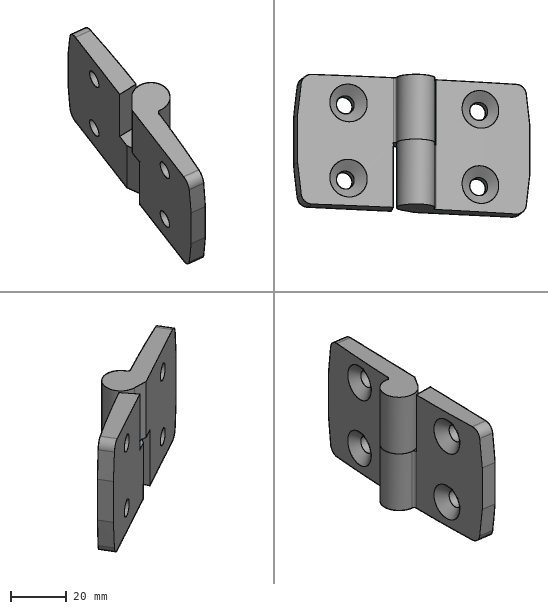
import cadquery as cq
import math

LENGTH = 87.0
HEIGHT = 48.0
DEPTH = 16.0
FRONT_Y = -DEPTH / 2

HALF_LENGTH = LENGTH / 2
HALF_HEIGHT = HEIGHT / 2
CENTER_THICKNESS = 7.65
END_THICKNESS = 6.1
END_FLAT_HEIGHT = 17.6
END_INSET = 1.8
END_BOW = 0.1
CORNER_RADIUS = 3.9

KNUCKLE_RADIUS = 7.0
AXIS_Y = DEPTH / 2 - KNUCKLE_RADIUS
HEEL_X = 1.9
ROOT_FILLET = 1.05

RECESS_FRONT_X = 7.0
RECESS_BACK_X = 8.0

HOLE_X = 25.0
HOLE_Z = 13.9
HOLE_DIAMETER = 6.6
HEAD_DIAMETER = 13.9

CROWN_DROP = CENTER_THICKNESS - END_THICKNESS
CROWN_RADIUS = (HALF_LENGTH**2 + CROWN_DROP**2) / (2 * CROWN_DROP)
CROWN_CENTER_Y = FRONT_Y + CENTER_THICKNESS - CROWN_RADIUS


def crown_y(x):
    """Y of the crowned face at x."""
    return CROWN_CENTER_Y + math.sqrt(CROWN_RADIUS**2 - x**2)


def extrude_profile(profile, bottom_z, top_z):
    """Extrude an XY profile between two heights."""
    return profile.extrude(top_z - bottom_z).translate((0, 0, bottom_z))


def plate_section(front_x, back_x, bottom_z, top_z):
    """Crowned plate running from an inner edge to the outer end."""
    middle_x = (back_x + HALF_LENGTH) / 2
    profile = (
        cq.Workplane("XY")
        .moveTo(front_x, FRONT_Y)
        .lineTo(back_x, crown_y(back_x))
        .threePointArc((middle_x, crown_y(middle_x)), (HALF_LENGTH, crown_y(HALF_LENGTH)))
        .lineTo(HALF_LENGTH, FRONT_Y)
        .close()
    )
    return extrude_profile(profile, bottom_z, top_z)


def knuckle_section():
    """Upper half of the leaf: the knuckle running smoothly into the plate."""
    axis_height = AXIS_Y - FRONT_Y
    heel_distance = math.hypot(HEEL_X, axis_height)
    tangent_angle = math.atan2(-axis_height, HEEL_X) - math.acos(KNUCKLE_RADIUS / heel_distance)
    tangent_x = KNUCKLE_RADIUS * math.cos(tangent_angle)
    tangent_y = AXIS_Y + KNUCKLE_RADIUS * math.sin(tangent_angle)

    center_distance = AXIS_Y - CROWN_CENTER_Y
    meet_offset = (CROWN_RADIUS**2 - KNUCKLE_RADIUS**2 - center_distance**2) / (2 * center_distance)
    meet_y = AXIS_Y + meet_offset
    meet_x = math.sqrt(KNUCKLE_RADIUS**2 - meet_offset**2)
    middle_x = (meet_x + HALF_LENGTH) / 2

    profile = (
        cq.Workplane("XY")
        .moveTo(HEEL_X, FRONT_Y)
        .lineTo(tangent_x, tangent_y)
        .threePointArc((0, AXIS_Y + KNUCKLE_RADIUS), (meet_x, meet_y))
        .threePointArc((middle_x, crown_y(middle_x)), (HALF_LENGTH, crown_y(HALF_LENGTH)))
        .lineTo(HALF_LENGTH, FRONT_Y)
        .close()
    )
    section = extrude_profile(profile, 0, HALF_HEIGHT)
    root_edge = cq.selectors.NearestToPointSelector((meet_x, meet_y, HALF_HEIGHT / 2))
    return section.edges("|Z").edges(root_edge).fillet(ROOT_FILLET)


def end_outline():
    """Prism with the swept-back outer end and rounded outer corners, to trim a leaf."""
    corner_x = HALF_LENGTH - END_INSET
    half_flat = END_FLAT_HEIGHT / 2
    corner_edges = cq.selectors.BoxSelector(
        (corner_x - END_BOW, -DEPTH, -HEIGHT), (corner_x + END_BOW, DEPTH, HEIGHT)
    ) & cq.selectors.ParallelDirSelector(cq.Vector(0, 1, 0))
    bow_x = HALF_LENGTH - END_INSET / 2 + END_BOW
    bow_z = (half_flat + HALF_HEIGHT) / 2
    return (
        cq.Workplane("XZ", origin=(0, DEPTH / 2, 0))
        .moveTo(-HALF_LENGTH, -HALF_HEIGHT)
        .lineTo(corner_x, -HALF_HEIGHT)
        .threePointArc((bow_x, -bow_z), (HALF_LENGTH, -half_flat))
        .lineTo(HALF_LENGTH, half_flat)
        .threePointArc((bow_x, bow_z), (corner_x, HALF_HEIGHT))
        .lineTo(-HALF_LENGTH, HALF_HEIGHT)
        .close()
        .extrude(DEPTH)
        .edges(corner_edges)
        .fillet(CORNER_RADIUS)
    )


def screw_hole(z):
    """Cutter for a through hole with a 90 degree countersink in the crowned face."""
    bore_radius = HOLE_DIAMETER / 2
    head_radius = HEAD_DIAMETER / 2
    head_y = crown_y(HOLE_X)
    cone_start_y = head_y - (head_radius - bore_radius)
    cone_end_y = DEPTH / 2
    cone_end_radius = head_radius + cone_end_y - head_y
    return (
        cq.Workplane("XY")
        .moveTo(0, FRONT_Y)
        .lineTo(bore_radius, FRONT_Y)
        .lineTo(bore_radius, cone_start_y)
        .lineTo(cone_end_radius, cone_end_y)
        .lineTo(0, cone_end_y)
        .close()
        .revolve(360, (0, 0), (0, 1))
        .translate((HOLE_X, 0, z))
    )


def make_leaf():
    """Right-hand leaf, with its knuckle in the upper half."""
    leaf = knuckle_section().union(plate_section(RECESS_FRONT_X, RECESS_BACK_X, -HALF_HEIGHT, 0))
    leaf = leaf.intersect(end_outline())
    for z in (-HOLE_Z, HOLE_Z):
        leaf = leaf.cut(screw_hole(z))
    return leaf


leaves = [make_leaf().rotate((0, 0, 0), (0, 1, 0), angle).val() for angle in (0, 180)]

result = cq.Compound.makeCompound(leaves)